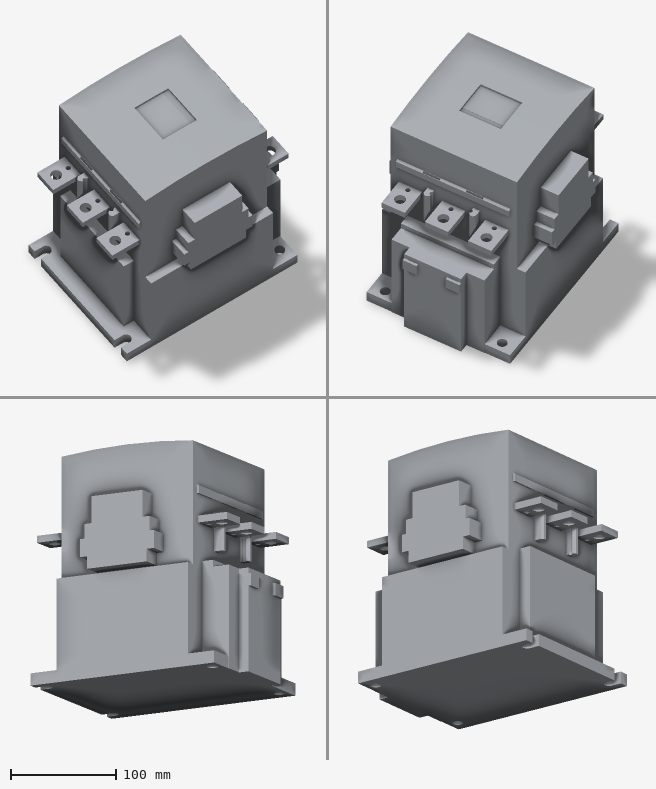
import cadquery as cq


OVERALL_HEIGHT = 226.0
HOUSING_WIDTH = 140.1
HOUSING_DEPTH = 142.8
CROWN_RISE = 4.0
LOWER_WIDTH = 159.0
LOWER_HEIGHT = 101.2
HOUSING_BACK = HOUSING_DEPTH / 2

PLATE_THICKNESS = 12.0
PLATE_REACH = 100.0
MOUNT_HOLE_DIAMETER = 10.5
MOUNT_HOLE_X = 64.9
MOUNT_HOLE_Y = 90.0

PAD_WIDTH = 103.0
PAD_REACH = 83.2
FRONT_PAD_HEIGHT = 107.1
BACK_PAD_HEIGHT = 107.8

BACK_LEDGE_REACH = 100.3
BACK_BLOCK_WIDTH = 63.0
BACK_BLOCK_REACH = 110.3
LUG_WIDTH = 15.4
LUG_REACH = 113.2
LUG_BOTTOM = 83.5
LUG_TOP = 95.5

SIDE_BLOCK_SPAN = 180.0
SIDE_BLOCK_LAYERS = [
    (32.3, 104.2, 116.5),
    (40.0, 116.5, 134.0),
    (35.3, 134.0, 148.3),
    (27.8, 148.3, 174.5),
]

TERMINAL_PITCH = 48.0
TERMINAL_WIDTH = 25.8
TERMINAL_REACH = 103.3
TERMINAL_BOTTOM = 143.5
TERMINAL_TOP = 150.3
BOLT_HOLE_DIAMETER = 11.3
BOLT_HOLE_Y = 90.6
PILOT_HOLE_DIAMETER = 5.0
PILOT_HOLE_Y = 76.5

RIB_X = 25.3
RIB_WIDTH = 7.2
RIB_REACH = 81.4
RIB_BOTTOM = 121.8
RIB_TOP = 159.5
RIB_CHAMFER = 2.3
RIB_NOTCH_RADIUS = 2.0
RIB_NOTCH_Y = 76.0

RAIL_LENGTH = 125.2
RAIL_DEPTH = 2.3
RAIL_BOTTOM = 171.8
RAIL_EDGE_TOP = 179.2
RAIL_TOP = 181.0
RAIL_GAP_X = 24.0
RAIL_GAP_LENGTH = 19.0
RAIL_WALL = 0.5
RAIL_BACKING = 0.2

WINDOW_WIDTH = 46.3
WINDOW_FRONT = -16.7
WINDOW_BACK = 23.0
WINDOW_FLOOR = 223.3
WINDOW_GROOVE_FRONT = 16.5
WINDOW_GROOVE_FLOOR = 222.8


def box(x_range, y_range, z_range):
    """Box given by its limits along each axis."""
    corners = list(zip(x_range, y_range, z_range))
    size = [high - low for low, high in zip(*corners)]
    return cq.Workplane("XY").box(*size, centered=False).translate(corners[0])


def centred_box(width, y_range, z_range):
    """Box centred on X = 0."""
    return box((-width / 2, width / 2), y_range, z_range)


def vertical_cylinder(diameter, x, y, z_range):
    bottom, top = z_range
    return cq.Workplane("XY", origin=(x, y, bottom)).circle(diameter / 2).extrude(top - bottom)


def on_both_sides(back_feature):
    """Pair a feature at the back with its mirror image at the front."""
    return back_feature.union(back_feature.mirror("XZ"))


def make_housing():
    """Upper housing with a shallow crowned top, on a wider lower body."""
    upper = (
        cq.Workplane("YZ")
        .moveTo(-HOUSING_BACK, 0)
        .lineTo(HOUSING_BACK, 0)
        .lineTo(HOUSING_BACK, OVERALL_HEIGHT - CROWN_RISE)
        .threePointArc((0, OVERALL_HEIGHT), (-HOUSING_BACK, OVERALL_HEIGHT - CROWN_RISE))
        .close()
        .extrude(HOUSING_WIDTH / 2, both=True)
    )
    lower = centred_box(LOWER_WIDTH, (-HOUSING_BACK, HOUSING_BACK), (0, LOWER_HEIGHT))
    return upper.union(lower)


def make_window():
    """Recess in the crowned top, slightly deeper along its back edge."""
    main = centred_box(WINDOW_WIDTH, (WINDOW_FRONT, WINDOW_BACK), (WINDOW_FLOOR, OVERALL_HEIGHT))
    groove = centred_box(
        WINDOW_WIDTH, (WINDOW_GROOVE_FRONT, WINDOW_BACK), (WINDOW_GROOVE_FLOOR, OVERALL_HEIGHT)
    )
    return main.union(groove)


def make_plate():
    """Mounting plate with round holes at the back and open slots at the front."""
    thickness = (0, PLATE_THICKNESS)
    plate = centred_box(LOWER_WIDTH, (-PLATE_REACH, PLATE_REACH), thickness)
    radius = MOUNT_HOLE_DIAMETER / 2
    for x in (-MOUNT_HOLE_X, MOUNT_HOLE_X):
        plate = plate.cut(vertical_cylinder(MOUNT_HOLE_DIAMETER, x, MOUNT_HOLE_Y, thickness))
        plate = plate.cut(vertical_cylinder(MOUNT_HOLE_DIAMETER, x, -MOUNT_HOLE_Y, thickness))
        plate = plate.cut(box((x - radius, x + radius), (-PLATE_REACH, -MOUNT_HOLE_Y), thickness))
    return plate


def make_pads():
    """Raised pads, plus the stepped block and lugs behind the back pad."""
    pads = centred_box(PAD_WIDTH, (-PAD_REACH, 0), (0, FRONT_PAD_HEIGHT))
    pads = pads.union(centred_box(PAD_WIDTH, (0, PAD_REACH), (0, BACK_PAD_HEIGHT)))
    pads = pads.union(centred_box(PAD_WIDTH, (0, BACK_LEDGE_REACH), (0, LOWER_HEIGHT)))
    pads = pads.union(centred_box(BACK_BLOCK_WIDTH, (0, BACK_BLOCK_REACH), (0, LOWER_HEIGHT)))
    outer_x = BACK_BLOCK_WIDTH / 2
    for x_range in ((-outer_x, LUG_WIDTH - outer_x), (outer_x - LUG_WIDTH, outer_x)):
        pads = pads.union(box(x_range, (0, LUG_REACH), (LUG_BOTTOM, LUG_TOP)))
    return pads


def make_side_blocks():
    """Stepped blocks on both flanks, built as layers running through the housing."""
    blocks = cq.Workplane("XY")
    for half_depth, bottom, top in SIDE_BLOCK_LAYERS:
        blocks = blocks.union(
            centred_box(SIDE_BLOCK_SPAN, (-half_depth, half_depth), (bottom, top))
        )
    return blocks


def make_terminal(x):
    """Back terminal bar with a bolt hole and a smaller hole near the housing."""
    thickness = (TERMINAL_BOTTOM, TERMINAL_TOP)
    half_width = TERMINAL_WIDTH / 2
    bar = box((x - half_width, x + half_width), (HOUSING_BACK, TERMINAL_REACH), thickness)
    bar = bar.cut(vertical_cylinder(BOLT_HOLE_DIAMETER, x, BOLT_HOLE_Y, thickness))
    return bar.cut(vertical_cylinder(PILOT_HOLE_DIAMETER, x, PILOT_HOLE_Y, thickness))


def make_rib(side):
    """Back rib with a chamfered tip and a round notch facing the centre bar; side is -1 or 1."""
    height = (RIB_BOTTOM, RIB_TOP)
    x = side * RIB_X
    rib = box((x - RIB_WIDTH / 2, x + RIB_WIDTH / 2), (HOUSING_BACK, RIB_REACH), height)
    rib = rib.edges("|Z and >Y").chamfer(RIB_CHAMFER)
    notch_x = x - side * RIB_WIDTH / 2
    return rib.cut(vertical_cylinder(2 * RIB_NOTCH_RADIUS, notch_x, RIB_NOTCH_Y, height))


def make_rail():
    """Back rail with a sloped top and two openings behind a thin outer wall."""
    outer_y = HOUSING_BACK + RAIL_DEPTH
    rail = (
        cq.Workplane("YZ")
        .moveTo(HOUSING_BACK, RAIL_BOTTOM)
        .lineTo(outer_y, RAIL_BOTTOM)
        .lineTo(outer_y, RAIL_EDGE_TOP)
        .lineTo(HOUSING_BACK, RAIL_TOP)
        .close()
        .extrude(RAIL_LENGTH / 2, both=True)
    )
    opening_y = (HOUSING_BACK + RAIL_BACKING, outer_y - RAIL_WALL)
    for x in (-RAIL_GAP_X, RAIL_GAP_X):
        gap = (x - RAIL_GAP_LENGTH / 2, x + RAIL_GAP_LENGTH / 2)
        rail = rail.cut(box(gap, opening_y, (RAIL_BOTTOM, RAIL_TOP)))
        rail = rail.cut(box(gap, (opening_y[0], outer_y), (RAIL_EDGE_TOP, RAIL_TOP)))
    return rail


result = make_housing().cut(make_window())
result = result.union(make_plate()).union(make_pads()).union(make_side_blocks())
for terminal_x in (-TERMINAL_PITCH, 0, TERMINAL_PITCH):
    result = result.union(on_both_sides(make_terminal(terminal_x)))
for rib_side in (-1, 1):
    result = result.union(on_both_sides(make_rib(rib_side)))
result = result.union(on_both_sides(make_rail()))